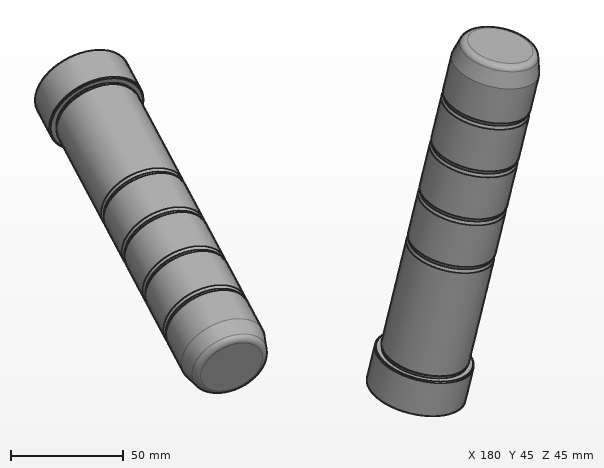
import cadquery as cq
import math

length = 180.0
head_diameter = 45.0
head_length = 18.0
head_chamfer = 0.5
head_face_chamfer = 0.2
shank_radius = 20.0

undercut_width = 1.6
undercut_depth = 0.5
undercut_slope = 0.5

groove_count = 4
first_groove_x = 75.0
groove_pitch = 25.0
groove_width = 3.2
groove_depth = 0.5

taper_start_x = 170.0
taper_angle = 15.0
nose_radius = 3.2

centre_mouth_diameter = 6.8
centre_pilot_diameter = 4.0
centre_cone_angle = 60.0
pilot_depth = 7.2
drill_point_angle = 120.0


def turned_body():
    """Head, undercut, shank and tapered tip, revolved about X."""
    head_radius = head_diameter / 2
    undercut_radius = shank_radius - undercut_depth
    undercut_end_x = head_length + undercut_width
    tip_radius = shank_radius - (length - taper_start_x) * math.tan(math.radians(taper_angle))
    profile = (
        cq.Workplane("XY")
        .moveTo(0, 0)
        .lineTo(0, head_radius - head_face_chamfer)
        .lineTo(head_face_chamfer, head_radius)
        .lineTo(head_length - head_chamfer, head_radius)
        .lineTo(head_length, head_radius - head_chamfer)
        .lineTo(head_length, undercut_radius)
        .lineTo(undercut_end_x - undercut_slope, undercut_radius)
        .lineTo(undercut_end_x, shank_radius)
        .lineTo(taper_start_x, shank_radius)
        .lineTo(length, tip_radius)
        .lineTo(length, 0)
        .close()
    )
    body = profile.revolve(360, (0, 0, 0), (1, 0, 0))
    return body.faces(">X").edges().fillet(nose_radius)


def lubrication_groove(centre_x):
    """Ring with a shallow V section, to be cut from the shank."""
    half_width = groove_width / 2
    return (
        cq.Workplane("XY")
        .moveTo(centre_x - half_width, shank_radius)
        .lineTo(centre_x, shank_radius - groove_depth)
        .lineTo(centre_x + half_width, shank_radius)
        .close()
        .revolve(360, (0, 0, 0), (1, 0, 0))
    )


def centre_hole():
    """Conical mouth, straight pilot and drill point."""
    mouth_radius = centre_mouth_diameter / 2
    pilot_radius = centre_pilot_diameter / 2
    cone_depth = (mouth_radius - pilot_radius) / math.tan(math.radians(centre_cone_angle / 2))
    point_length = pilot_radius / math.tan(math.radians(drill_point_angle / 2))
    return (
        cq.Workplane("XY")
        .moveTo(0, 0)
        .lineTo(0, mouth_radius)
        .lineTo(cone_depth, pilot_radius)
        .lineTo(pilot_depth, pilot_radius)
        .lineTo(pilot_depth + point_length, 0)
        .close()
        .revolve(360, (0, 0, 0), (1, 0, 0))
    )


result = turned_body().cut(centre_hole())
for index in range(groove_count):
    result = result.cut(lubrication_groove(first_groove_x + index * groove_pitch))